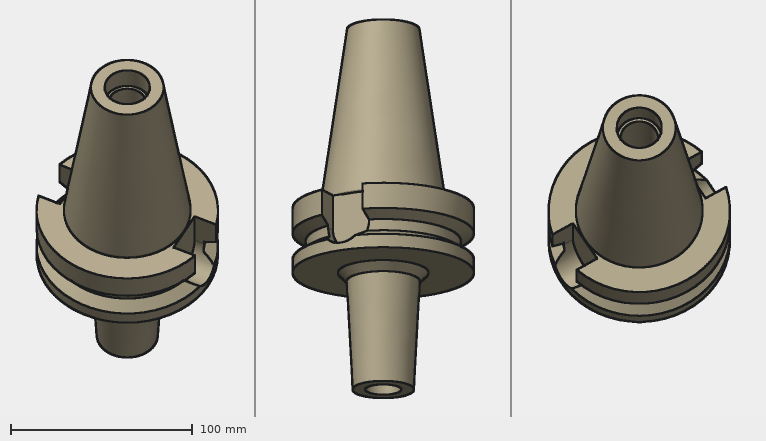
import cadquery as cq

TOTAL_HEIGHT = 206.8
NECK_TOP_Z = 62.0
FLANGE_BOTTOM_Z = 67.0
FLANGE_TOP_Z = 104.0
GAUGE_Z = 105.0

NOSE_RADIUS = 17.0
NECK_RADIUS = 20.3
COLLAR_RADIUS = 25.0
FLANGE_RADIUS = 50.0
GAUGE_RADIUS = 35.0
TAPER_TOP_RADIUS = 20.0

GROOVE_CENTER_Z = 82.0
GROOVE_FLOOR_WIDTH = 6.5
GROOVE_MOUTH_WIDTH = 14.9
GROOVE_RADIUS = 42.8

SLOT_WIDTH = 25.5
SLOT_BOTTOM_Z = 71.3
SLOT_FLOOR_X = 35.2

CLAMP_BORE_RADIUS = 10.0
CLAMP_BORE_DEPTH = NECK_TOP_Z
RELIEF_RADIUS = 10.3
MOUTH_RADIUS = 12.5
MOUTH_DEPTH = 13.0


def make_body():
    """Revolve the solid outline of nose, grooved flange and taper."""
    floor_half = GROOVE_FLOOR_WIDTH / 2
    mouth_half = GROOVE_MOUTH_WIDTH / 2
    outline = [
        (0, 0),
        (NOSE_RADIUS, 0),
        (NECK_RADIUS, NECK_TOP_Z),
        (COLLAR_RADIUS, FLANGE_BOTTOM_Z),
        (FLANGE_RADIUS, FLANGE_BOTTOM_Z),
        (FLANGE_RADIUS, GROOVE_CENTER_Z - mouth_half),
        (GROOVE_RADIUS, GROOVE_CENTER_Z - floor_half),
        (GROOVE_RADIUS, GROOVE_CENTER_Z + floor_half),
        (FLANGE_RADIUS, GROOVE_CENTER_Z + mouth_half),
        (FLANGE_RADIUS, FLANGE_TOP_Z),
        (GAUGE_RADIUS, FLANGE_TOP_Z),
        (GAUGE_RADIUS, GAUGE_Z),
        (TAPER_TOP_RADIUS, TOTAL_HEIGHT),
        (0, TOTAL_HEIGHT),
    ]
    return cq.Workplane("XZ").polyline(outline).close().revolve(360, (0, 0), (0, 1))


def make_bore():
    """Revolve the stepped hole that runs the whole length."""
    step_z = TOTAL_HEIGHT - MOUTH_DEPTH
    outline = [
        (0, 0),
        (CLAMP_BORE_RADIUS, 0),
        (CLAMP_BORE_RADIUS, CLAMP_BORE_DEPTH),
        (RELIEF_RADIUS, CLAMP_BORE_DEPTH),
        (RELIEF_RADIUS, step_z),
        (MOUTH_RADIUS, step_z),
        (MOUTH_RADIUS, TOTAL_HEIGHT),
        (0, TOTAL_HEIGHT),
    ]
    return cq.Workplane("XZ").polyline(outline).close().revolve(360, (0, 0), (0, 1))


def make_drive_slot(side):
    """Make the cutter for one drive slot; side is +1 or -1 along X."""
    half_width = SLOT_WIDTH / 2
    arc_center_z = SLOT_BOTTOM_Z + half_width
    return (
        cq.Workplane("YZ", origin=(side * SLOT_FLOOR_X, 0, 0))
        .moveTo(-half_width, FLANGE_TOP_Z)
        .lineTo(-half_width, arc_center_z)
        .threePointArc((0, SLOT_BOTTOM_Z), (half_width, arc_center_z))
        .lineTo(half_width, FLANGE_TOP_Z)
        .close()
        .extrude(side * FLANGE_RADIUS)
    )


result = make_body().cut(make_bore())
for slot_side in (-1, 1):
    result = result.cut(make_drive_slot(slot_side))